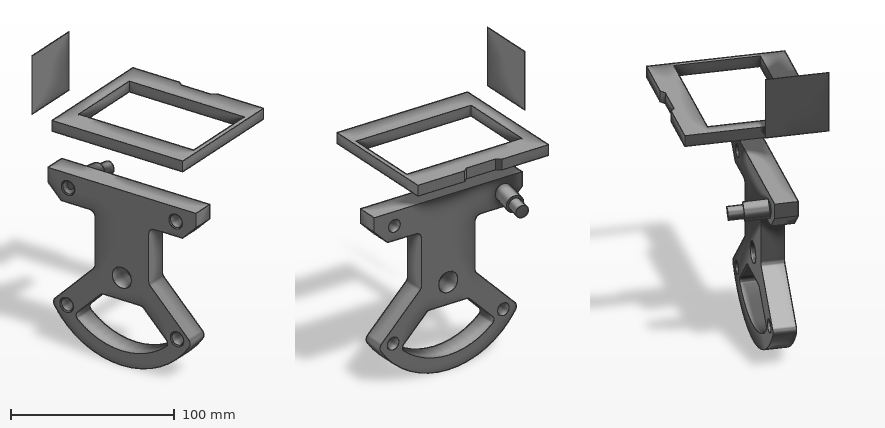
import cadquery as cq
import math


overall_height = 204.7

bracket_thickness = 15.0
head_width = 110.0
head_top = 59.8
head_height = 19.9
head_chamfer = 10.0
stem_width = 40.0
arm_width = 15.2
sector_radius = 60.0
rim_width = 10.0
outline_fillet = 4.0
window_fillet = 3.3
pivot_diameter = 14.1
mount_hole_diameter = 8.5
mount_hole_chamfer = 0.72
upper_hole_x = 40.0
upper_hole_z = 50.0
lower_hole_x = 41.0
lower_hole_z = -30.3

pin_diameter = mount_hole_diameter
collar_diameter = 11.9
collar_length = 15.8
tip_length = 9.8
spigot_length = 9.8
pin_offset_x = -1.0
pin_slope_x = 0.14
pin_slope_z = -0.08

frame_left = -38.3
frame_width = 97.0
frame_depth = 87.0
frame_thickness = 7.4
frame_front = -19.7
frame_top = 104.8
opening_left_margin = 8.5
opening_right_margin = 3.0
opening_front_margin = 16.2
opening_back_margin = 16.4
notch_mouth = 27.8
notch_floor = 21.5
notch_depth = 2.5

sheet_left = -53.2
sheet_thickness = 0.2
sheet_depth = 40.0
sheet_height = overall_height - sector_radius - frame_top


def front_plane():
    """Sketch plane on the bracket's front face; extruding by a negative length goes back."""
    return cq.Workplane("XZ")


def make_bracket_blank():
    half_head = head_width / 2
    half_stem = stem_width / 2
    head_bottom = head_top - head_height
    arm_offset = arm_width * math.sqrt(2)
    arm_root_z = arm_offset - half_stem
    arm_angle = math.radians(45) - math.asin(arm_width / sector_radius)
    arm_tip_x = sector_radius * math.cos(arm_angle)
    arm_tip_z = -sector_radius * math.sin(arm_angle)

    blank = (
        front_plane()
        .moveTo(-half_head, head_top)
        .lineTo(half_head, head_top)
        .lineTo(half_head, head_top - head_height + head_chamfer)
        .lineTo(half_head - head_chamfer, head_bottom)
        .lineTo(half_stem, head_bottom)
        .lineTo(half_stem, arm_root_z)
        .lineTo(arm_tip_x, arm_tip_z)
        .threePointArc((0, -sector_radius), (-arm_tip_x, arm_tip_z))
        .lineTo(-half_stem, arm_root_z)
        .lineTo(-half_stem, head_bottom)
        .lineTo(-half_head + head_chamfer, head_bottom)
        .lineTo(-half_head, head_top - head_height + head_chamfer)
        .close()
        .extrude(-bracket_thickness)
    )
    rounded_corners = [
        (half_stem, head_bottom),
        (half_stem, arm_root_z),
        (arm_tip_x, arm_tip_z),
    ]
    for x, z in rounded_corners:
        for side in (-1, 1):
            corner = cq.selectors.NearestToPointSelector((side * x, bracket_thickness / 2, z))
            blank = blank.edges("|Y").edges(corner).fillet(outline_fillet)
    return blank


def make_window():
    """Sector opening whose 45-degree sides point at the pivot axis."""
    window_top = arm_width
    inner_radius = sector_radius - rim_width
    side_end = inner_radius * math.cos(math.radians(45))
    return (
        front_plane()
        .moveTo(-window_top, -window_top)
        .lineTo(window_top, -window_top)
        .lineTo(side_end, -side_end)
        .threePointArc((0, -inner_radius), (-side_end, -side_end))
        .close()
        .extrude(-bracket_thickness)
        .edges("|Y")
        .fillet(window_fillet)
    )


def make_mount_holes():
    """Four through holes, chamfered at the front face."""
    centres = [
        (side * x, z)
        for x, z in ((upper_hole_x, upper_hole_z), (lower_hole_x, lower_hole_z))
        for side in (-1, 1)
    ]
    bores = front_plane().pushPoints(centres).circle(mount_hole_diameter / 2).extrude(-bracket_thickness)
    mouths = (
        front_plane()
        .pushPoints(centres)
        .circle(mount_hole_diameter / 2 + mount_hole_chamfer)
        .extrude(-mount_hole_chamfer, taper=45)
    )
    return bores.union(mouths)


def make_pin():
    """Collar with a tip behind it and a spigot ahead of it, on one tilted axis."""
    seat = cq.Vector(pin_offset_x - upper_hole_x, bracket_thickness, upper_hole_z)
    axis = cq.Vector(pin_slope_x, 1, pin_slope_z).normalized()
    start = seat - axis * spigot_length
    shaft_length = spigot_length + collar_length + tip_length
    shaft = cq.Solid.makeCylinder(pin_diameter / 2, shaft_length, start, axis)
    collar = cq.Solid.makeCylinder(collar_diameter / 2, collar_length, seat, axis)
    return cq.Workplane(shaft).union(cq.Workplane(collar))


def make_bracket():
    pivot_hole = front_plane().circle(pivot_diameter / 2).extrude(-bracket_thickness)
    plate = make_bracket_blank().cut(make_window()).cut(pivot_hole).cut(make_mount_holes())
    return plate.union(make_pin())


def make_frame():
    frame_bottom = frame_top - frame_thickness
    frame_back = frame_front + frame_depth
    notch_x = frame_left + frame_width / 2
    opening_width = frame_width - opening_left_margin - opening_right_margin
    opening_depth = frame_depth - opening_front_margin - opening_back_margin

    slab = cq.Workplane("XY", origin=(frame_left, frame_front, frame_bottom)).rect(
        frame_width, frame_depth, centered=False
    ).extrude(frame_thickness)
    opening = cq.Workplane(
        "XY", origin=(frame_left + opening_left_margin, frame_front + opening_front_margin, frame_bottom)
    ).rect(opening_width, opening_depth, centered=False).extrude(frame_thickness)
    notch = (
        cq.Workplane("XY", origin=(notch_x, frame_back, frame_bottom))
        .moveTo(-notch_mouth / 2, 0)
        .lineTo(-notch_floor / 2, -notch_depth)
        .lineTo(notch_floor / 2, -notch_depth)
        .lineTo(notch_mouth / 2, 0)
        .close()
        .extrude(frame_thickness)
    )
    return slab.cut(opening).cut(notch)


def make_sheet():
    return cq.Workplane("XY", origin=(sheet_left, frame_front, frame_top)).rect(
        sheet_thickness, sheet_depth, centered=False
    ).extrude(sheet_height)


bracket = make_bracket()
frame = make_frame()
sheet = make_sheet()

result = cq.Compound.makeCompound([bracket.val(), frame.val(), sheet.val()])